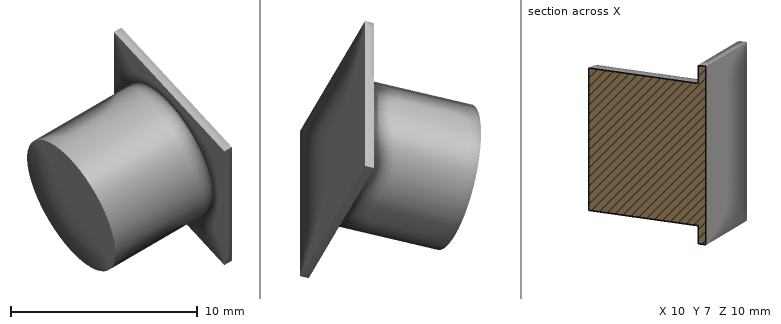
import cadquery as cq

plate_side = 10.0
plate_thickness = 0.5
overall_depth = 7.0
boss_diameter = 8.0
boss_length = overall_depth - plate_thickness


def make_plate():
    """Square plate in the XZ plane, from Y = 0 back to +Y."""
    return cq.Workplane("XZ").rect(plate_side, plate_side).extrude(-plate_thickness)


def make_boss():
    """Round boss centred on the plate, standing out from its front face toward -Y."""
    return cq.Workplane("XZ").circle(boss_diameter / 2).extrude(boss_length)


result = make_plate().union(make_boss())